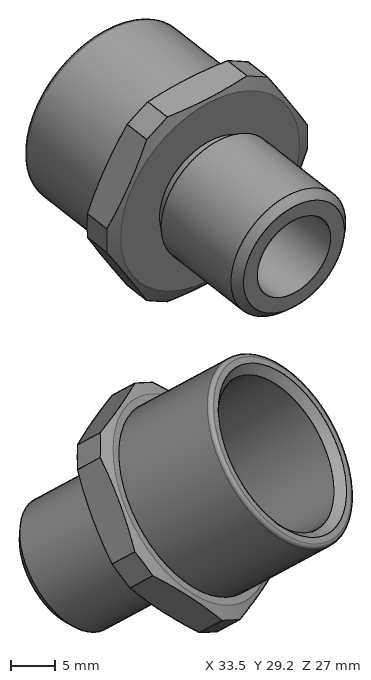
import cadquery as cq
import math

socket_length = 14.0
hex_width = 4.5
neck_width = 1.5
total_length = 33.5
hex_end = socket_length + hex_width
neck_end = hex_end + neck_width

socket_diameter = 24.05
socket_rim_fillet = 0.5
hex_across_flats = 27.0
hex_across_cut_corners = 29.18
hex_face_diameter = 26.0
hex_corner_diameter = hex_across_flats / math.cos(math.pi / 6)
cut_corner_diameter = hex_across_cut_corners / math.cos(math.pi / 6)
half_sector = 30
hex_chamfer_slope = 0.3
neck_diameter = 14.67
spigot_diameter = 16.68
spigot_chamfer = 1.0

socket_bore_diameter = 19.43
socket_bore_depth = 15.0
socket_bore_chamfer = 1.0
mouth_angle = 45
through_bore_diameter = 10.65


def cylinder(diameter, start, end):
    """Solid cylinder on the X axis between two stations."""
    return cq.Workplane("YZ", origin=(start, 0, 0)).circle(diameter / 2).extrude(end - start)


def hex_prism(corner_diameter, corner_angle):
    """Hexagonal prism over the flange width, one corner at corner_angle degrees from Y."""
    prism = (
        cq.Workplane("YZ", origin=(socket_length, 0, 0))
        .polygon(6, corner_diameter)
        .extrude(hex_width)
    )
    return prism.rotate((0, 0, 0), (1, 0, 0), corner_angle)


def chamfer_envelope():
    """Disc with conical rims that bevels both faces of the hexagon."""
    face_radius = hex_face_diameter / 2
    rim_radius = hex_corner_diameter / 2
    rim_drop = (rim_radius - face_radius) * hex_chamfer_slope
    return (
        cq.Workplane("XY")
        .moveTo(socket_length, 0)
        .lineTo(socket_length, face_radius)
        .lineTo(socket_length + rim_drop, rim_radius)
        .lineTo(hex_end - rim_drop, rim_radius)
        .lineTo(hex_end, face_radius)
        .lineTo(hex_end, 0)
        .close()
        .revolve(360, (0, 0, 0), (1, 0, 0))
    )


flange = (
    hex_prism(hex_corner_diameter, 0)
    .intersect(hex_prism(cut_corner_diameter, half_sector))
    .intersect(chamfer_envelope())
)

socket = cylinder(socket_diameter, 0, socket_length).faces("<X").edges().fillet(socket_rim_fillet)
neck = cylinder(neck_diameter, hex_end, neck_end)
spigot = cylinder(spigot_diameter, neck_end, total_length).faces(">X").edges().chamfer(spigot_chamfer)

mouth_cutter = (
    cq.Workplane("YZ")
    .circle(socket_bore_diameter / 2 + socket_bore_chamfer)
    .extrude(socket_bore_chamfer, taper=mouth_angle)
)
socket_bore = cylinder(socket_bore_diameter, 0, socket_bore_depth)
through_bore = cylinder(through_bore_diameter, 0, total_length)

result = (
    socket.union(flange)
    .union(neck)
    .union(spigot)
    .cut(socket_bore)
    .cut(mouth_cutter)
    .cut(through_bore)
)